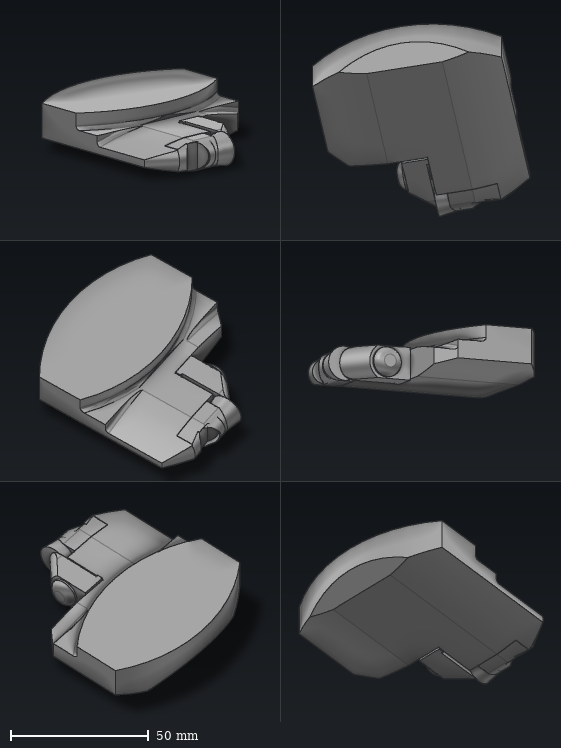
import cadquery as cq
import math


half_width = 35.0
base_top = 11.7
floor_height = 5.4
edge_half_height = 1.45
crown_radius = 132.2
clearance = 45.85

lens_radius = 60.0
lens_width = 40.8
fillet_radius = 1.5
left_chamfer_start = 1.1

shoulder_x = 47.4
shoulder_chamfer = shoulder_x - lens_width
ledge_y = -0.7

taper_end_x = 66.25
taper_tip_x = 73.2
taper_tip_y = -24.15
taper_angle = math.degrees(math.atan2(taper_tip_x - taper_end_x, taper_tip_y + half_width))

pad_left = 64.3
pad_top = -4.65
pad_bottom = -23.2
pad_rise = 0.15
pad_half_height = floor_height + pad_rise
pad_tip_x = 75.25
pad_step_y = -17.7

notch_x = 69.45
notch_y = -16.7
notch_angle = 45.0
notch_floor_x = 70.5
recess_radius = 5.3
recess_offset = 2.45
recess_depth = 2.0

insert_radius = 6.35
insert_x = 76.4 - insert_radius
insert_top = 0.15
insert_bottom = -8.0
insert_relief = 9.2

clamp_left = 47.7
clamp_top = 8.95
clamp_half_height = 6.0
clamp_corner_x = 64.0
clamp_slope_end_x = 72.0
clamp_nose_x = 72.3
clamp_slope_radius = 8.9
clamp_foot_right = 50.0
clamp_angle = math.degrees(math.atan2(clamp_slope_end_x - clamp_corner_x, clamp_top - insert_top))

screw_x = 57.2
screw_shank_diameter = 6.35
screw_head_diameter = 11.1
screw_rim_height = 0.8
screw_head_height = 3.2
screw_top_radius = 2.4
screw_bulge = 0.4


def block(x0, x1, y0, y1, z0, z1):
    """Box between opposite corners."""
    return cq.Workplane("XY").box(x1 - x0, y1 - y0, z1 - z0, centered=False).translate((x0, y0, z0))


crown_peak = edge_half_height + crown_radius - math.sqrt(crown_radius**2 - half_width**2)
crown_centre_z = crown_peak - crown_radius


def crown_height(y):
    return crown_centre_z + math.sqrt(crown_radius**2 - y**2)


crease_y = math.sqrt(crown_radius**2 - (floor_height - crown_centre_z) ** 2)


def crowned_bar(x0, x1, rise=0.0):
    """Bar along X with flat middle and arched flanks, the same above and below."""
    mid_y = (crease_y + half_width) / 2
    flat_z = floor_height + rise
    mid_z = crown_height(mid_y) + rise
    edge_z = edge_half_height + rise
    return (
        cq.Workplane("YZ", origin=(x0, 0, 0))
        .moveTo(-half_width, -edge_z)
        .threePointArc((-mid_y, -mid_z), (-crease_y, -flat_z))
        .lineTo(crease_y, -flat_z)
        .threePointArc((mid_y, -mid_z), (half_width, -edge_z))
        .lineTo(half_width, edge_z)
        .threePointArc((mid_y, mid_z), (crease_y, flat_z))
        .lineTo(-crease_y, flat_z)
        .threePointArc((-mid_y, mid_z), (-half_width, edge_z))
        .close()
        .extrude(x1 - x0)
    )


def rounded_edge(tip_x, tip_y, radius, turn=0.0):
    """Long bar with a half-round front edge through the tip, turned about Z."""
    return (
        cq.Workplane("XZ")
        .moveTo(-clearance, -radius)
        .lineTo(-radius, -radius)
        .threePointArc((0, 0), (-radius, radius))
        .lineTo(-clearance, radius)
        .close()
        .extrude(clearance, both=True)
        .rotate((0, 0, 0), (0, 0, 1), turn)
        .translate((tip_x, tip_y, 0))
    )


def make_base():
    """Lens-topped base with arched underside, filleted step and chamfered left rim."""
    lower = crowned_bar(0, lens_width)
    upper = block(0, lens_width, -half_width, half_width, 0, base_top)
    left_rim = cq.Workplane("XY", origin=(lens_radius, 0, -clearance)).circle(lens_radius).extrude(2 * clearance)
    step = (
        cq.Workplane("XZ")
        .moveTo(lens_radius, base_top)
        .lineTo(lens_radius, floor_height + fillet_radius)
        .radiusArc((lens_radius + fillet_radius, floor_height), -fillet_radius)
        .lineTo(lens_radius + clearance, floor_height)
        .lineTo(lens_radius + clearance, base_top)
        .close()
        .revolve(360, (0, 0, 0), (0, 1, 0))
        .translate((lens_width - lens_radius, 0, 0))
    )
    chamfer = (
        cq.Workplane("XZ")
        .moveTo(0, left_chamfer_start)
        .lineTo(0, left_chamfer_start - clearance)
        .lineTo(clearance, left_chamfer_start - clearance)
        .close()
        .extrude(clearance, both=True)
    )
    return lower.union(upper).intersect(left_rim).cut(step).cut(chamfer)


def make_step_fillet():
    """Fillet between the base step and the arched flanks of the tail."""
    ring = (
        cq.Workplane("XZ")
        .moveTo(lens_width, crown_radius - fillet_radius)
        .lineTo(lens_width, crown_radius + fillet_radius)
        .radiusArc((lens_width + fillet_radius, crown_radius), -fillet_radius)
        .lineTo(lens_width + fillet_radius, crown_radius - fillet_radius)
        .close()
        .revolve(360, (0, 0, 0), (1, 0, 0))
        .translate((0, 0, crown_centre_z))
    )
    return ring.intersect(block(0, clearance, -half_width, half_width, 0, floor_height))


def make_tail():
    """Plate behind the base, with a tapered round nose at its lower end."""
    outline = (
        cq.Workplane("XY", origin=(0, 0, -clearance))
        .polyline([
            (lens_width, half_width),
            (shoulder_x, half_width - shoulder_chamfer),
            (shoulder_x, ledge_y),
            (pad_left, ledge_y),
            (pad_left, pad_bottom),
            (taper_tip_x, pad_bottom),
            (taper_tip_x, taper_tip_y),
            (taper_end_x, -half_width),
            (lens_width, -half_width),
        ])
        .close()
        .extrude(2 * clearance)
    )
    plate = crowned_bar(lens_width, pad_tip_x).union(make_step_fillet()).intersect(outline)
    lower_nose = rounded_edge(taper_tip_x, taper_tip_y, pad_half_height, -taper_angle)
    lower_nose = lower_nose.intersect(rounded_edge(taper_tip_x, 0, pad_half_height))
    lower_end = block(pad_left, pad_tip_x, -half_width, pad_bottom, -clearance, clearance)
    return plate.cut(lower_end.cut(lower_nose))


def make_notch():
    """Square notch turned to a V, with a shallow round recess in its upper flank."""
    vee = block(0, clearance, -clearance, 0, -clearance, clearance)
    recess = cq.Workplane("XZ").center(recess_offset, 0).circle(recess_radius).extrude(-recess_depth)
    notch = vee.union(recess).rotate((0, 0, 0), (0, 0, 1), notch_angle).translate((notch_x, notch_y, 0))
    return notch.intersect(block(notch_floor_x, 2 * clearance, -clearance, clearance, -clearance, clearance))


def make_pad():
    """Slightly raised pad that carries the insert, with a notch in its nose."""
    bar = crowned_bar(pad_left, pad_tip_x, pad_rise)
    upper = bar.intersect(block(pad_left, pad_tip_x, pad_step_y, pad_top, -clearance, clearance))
    upper = upper.intersect(rounded_edge(pad_tip_x, 0, pad_half_height))
    lower = bar.intersect(block(pad_left, pad_tip_x, pad_bottom, pad_step_y, -clearance, clearance))
    lower = lower.intersect(rounded_edge(taper_tip_x, 0, pad_half_height))
    return upper.union(lower).cut(make_notch())


def make_clamp():
    """Clamp arm with a round sloping nose and a foot on the ledge."""
    arm = (
        cq.Workplane("XY", origin=(0, 0, -clamp_half_height))
        .polyline([
            (clamp_left, insert_top),
            (clamp_left, clamp_top),
            (clamp_corner_x, clamp_top),
            (clamp_slope_end_x, insert_top),
        ])
        .close()
        .extrude(2 * clamp_half_height)
        .intersect(rounded_edge(clamp_nose_x, 0, clamp_half_height))
        .intersect(rounded_edge(clamp_slope_end_x, insert_top, clamp_slope_radius, clamp_angle))
    )
    foot = block(clamp_left, clamp_foot_right, ledge_y, insert_top, -clamp_half_height, clamp_half_height)
    return arm.union(foot)


def make_screw():
    """Domed clamp screw whose shank crosses the gap below the clamp."""
    head_radius = screw_head_diameter / 2
    shank_radius = screw_shank_diameter / 2
    rim_y = clamp_top + screw_rim_height
    head_y = clamp_top + screw_head_height
    dome_mid = (
        (head_radius + screw_top_radius) / 2 + screw_bulge,
        (rim_y + head_y) / 2 + screw_bulge,
    )
    return (
        cq.Workplane("XY")
        .moveTo(0, ledge_y)
        .lineTo(shank_radius, ledge_y)
        .lineTo(shank_radius, clamp_top)
        .lineTo(head_radius, clamp_top)
        .lineTo(head_radius, rim_y)
        .threePointArc(dome_mid, (screw_top_radius, head_y))
        .lineTo(0, head_y)
        .close()
        .revolve(360, (0, 0, 0), (0, 1, 0))
        .translate((screw_x, 0, 0))
    )


def make_insert():
    """Round cutting insert, tapered towards its seat."""
    return (
        cq.Workplane("XZ", origin=(insert_x, insert_top, 0))
        .circle(insert_radius)
        .extrude(insert_top - insert_bottom, taper=insert_relief)
    )


insert = make_insert()
holder = make_base().union(make_tail()).union(make_pad()).union(make_clamp()).union(make_screw()).cut(insert)

result = cq.Compound.makeCompound([*holder.solids().vals(), insert.val()])